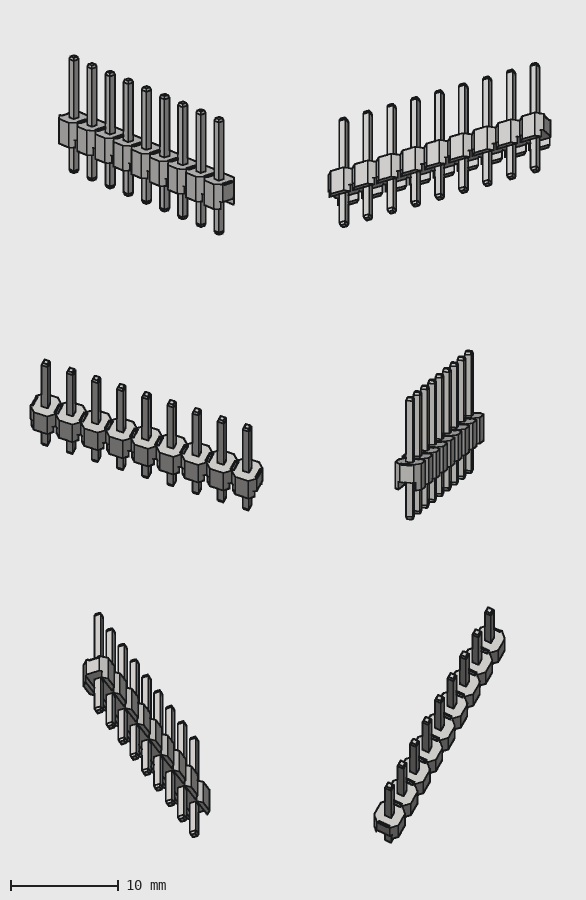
import cadquery as cq

pin_count = 9
row_length = 22.85
pitch = row_length / pin_count

body_width = 2.54
body_height = 2.5
corner_chamfer = 0.6

channel_width = 1.65
channel_depth = 0.73

recess_top_x = 0.4
recess_top_y = 1.1
recess_taper = 0.1
recess_depth = 0.11

pin_side = 0.65
pin_length = 11.6
pin_below_body = 3.0
tip_inset = 0.1
tip_height = 0.27

pin_positions = [(i - (pin_count - 1) / 2) * pitch for i in range(pin_count)]
joint_positions = [(i - pin_count / 2) * pitch for i in range(pin_count + 1)]


def housing_section(x):
    """Eight-sided block that holds one pin, with its base at Z = 0."""
    block = cq.Workplane("XY").box(pitch, body_width, body_height, centered=(True, True, False))
    return block.edges("|Z").chamfer(corner_chamfer).translate((x, 0, 0))


def recess(x):
    """Frustum that narrows downward from the top face of the housing."""
    return (
        cq.Workplane("XY", origin=(x, 0, body_height))
        .rect(recess_top_x, recess_top_y)
        .workplane(offset=-recess_depth)
        .rect(recess_top_x - 2 * recess_taper, recess_top_y - 2 * recess_taper)
        .loft(ruled=True)
    )


def pin(x):
    """Square pin with a tapered tip at both ends."""
    shaft = cq.Workplane("XY").box(pin_side, pin_side, pin_length, centered=(True, True, False))
    tapered = shaft.faces("<Z or >Z").chamfer(tip_height, tip_inset)
    return tapered.translate((x, 0, -pin_below_body))


result = housing_section(pin_positions[0])
for position in pin_positions[1:]:
    result = result.union(housing_section(position))

channel = cq.Workplane("XY").box(row_length, channel_width, channel_depth, centered=(True, True, False))
result = result.cut(channel)

for position in joint_positions:
    result = result.cut(recess(position))

for position in pin_positions:
    result = result.union(pin(position))